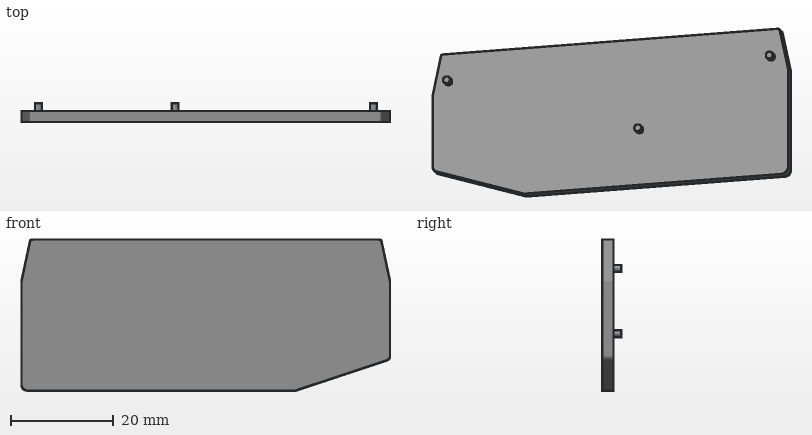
import cadquery as cq
import math

plate_length = 71.7
plate_height = 29.4
plate_thickness = 2.2

shoulder_height = plate_height - 8.2
side_lean = 12.0
side_inset = (plate_height - shoulder_height) * math.tan(math.radians(side_lean))

slope_start = 53.3
slope_rise = 6.1

upper_corner_radius = 0.5
lower_left_radius = 1.25
lower_right_radius = 1.0

pin_diameter = 1.4
pin_length = 1.5
upper_pin_height = 23.75
lower_pin_height = 11.1
pin_centres = [
    (3.35, upper_pin_height),
    (29.9, lower_pin_height),
    (68.45, upper_pin_height),
]


def round_corner(body, x, z, radius):
    """Round the plate edge that runs along Y through the outline corner (x, z)."""
    corner = cq.selectors.NearestToPointSelector((x, plate_thickness / 2, z))
    return body.edges("|Y").edges(corner).fillet(radius)


def make_plate():
    outline = [
        (0, 0),
        (slope_start, 0),
        (plate_length, slope_rise),
        (plate_length, shoulder_height),
        (plate_length - side_inset, plate_height),
        (side_inset, plate_height),
        (0, shoulder_height),
    ]
    plate = cq.Workplane("XZ").polyline(outline).close().extrude(-plate_thickness)
    plate = round_corner(plate, 0, 0, lower_left_radius)
    plate = round_corner(plate, plate_length, slope_rise, lower_right_radius)
    plate = round_corner(plate, side_inset, plate_height, upper_corner_radius)
    return round_corner(plate, plate_length - side_inset, plate_height, upper_corner_radius)


def make_pins():
    return (
        cq.Workplane("XZ", origin=(0, plate_thickness, 0))
        .pushPoints(pin_centres)
        .circle(pin_diameter / 2)
        .extrude(-pin_length)
    )


result = make_plate().union(make_pins())